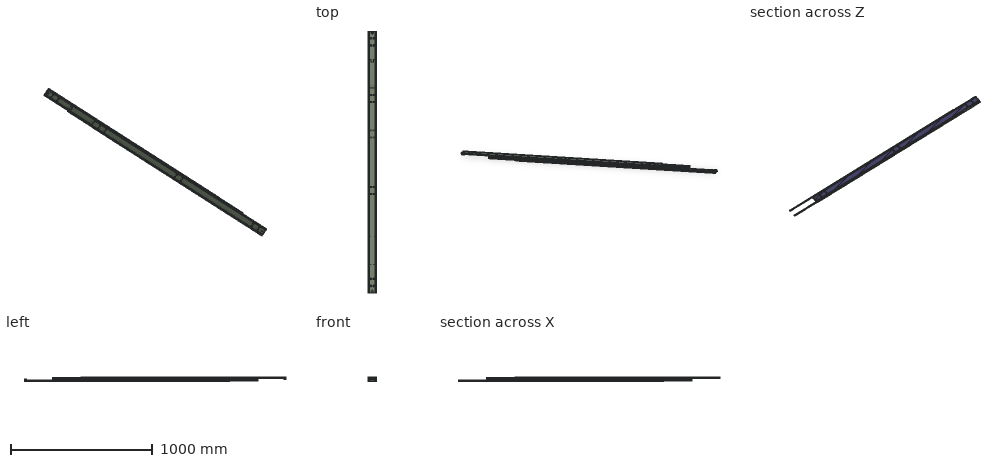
import cadquery as cq

OVERALL_LENGTH = 1850.0
OVERALL_HEIGHT = 34.0
WIDTH = 60.0

MEMBER_LENGTH = 1450.0
EXTENSION = OVERALL_LENGTH - MEMBER_LENGTH
UPPER_CENTRE_Y = -EXTENSION / 2
RAIL_END_Y = OVERALL_LENGTH / 2
MIDDLE_END_Y = MEMBER_LENGTH / 2

WEB_THICKNESS = 4.0
WALL_THICKNESS = 6.5
WALL_HEIGHT = 24.0
WEB_NOTCH_WIDTH = 19.0
WEB_NOTCH_DEPTH = 17.0
SIDE_HOLE_DIAMETER = 4.5
SIDE_HOLE_INSET = 12.0

PLATE_THICKNESS = 3.0
BAR_WIDTH = 40.0
BAR_TO_WEB_GAP = 3.0
PLATE_INNER_Z = OVERALL_HEIGHT / 2 - PLATE_THICKNESS
BAR_INNER_Z = WEB_THICKNESS / 2 + BAR_TO_WEB_GAP
BAR_CENTRE_Z = (PLATE_INNER_Z + BAR_INNER_Z) / 2
BALL_GROOVE_DIAMETER = 4.2

MOUNT_HOLE_DIAMETER = 8.5
MOUNT_HOLE_SPACING_X = 20.0
MOUNT_HOLE_SPACING_Y = 50.0
MOUNT_GROUP_PITCH = 650.0
MOUNT_GROUP_COUNT = 3
MOUNT_END_INSET = 50.0

STOP_DIAMETER = 16.0
STOP_REACH_PAST_CENTRE = 2.0
STOP_HEIGHT = BAR_INNER_Z + STOP_REACH_PAST_CENTRE
STOP_HOLE_DIAMETER = 8.0
END_HOLE_DIAMETER = 5.0
END_HOLE_DEPTH = 20.0


def mounting_hole_points():
    """Mounting hole centres on the upper rail, counted from its projecting end."""
    points = []
    for group in range(MOUNT_GROUP_COUNT):
        first_y = -RAIL_END_Y + MOUNT_END_INSET + group * MOUNT_GROUP_PITCH
        for y in (first_y, first_y + MOUNT_HOLE_SPACING_Y):
            for side in (-1, 1):
                points.append((side * MOUNT_HOLE_SPACING_X / 2, y))
    return points


def make_ball_grooves(x, z):
    """A pair of round cutters as long as a member, at +x and -x and at height z."""
    return (
        cq.Workplane("XZ")
        .pushPoints([(-x, z), (x, z)])
        .circle(BALL_GROOVE_DIAMETER / 2)
        .extrude(MEMBER_LENGTH / 2, both=True)
    )


def make_upper_rail():
    """Upper rail, which projects beyond the middle member at the -Y end."""
    plate = cq.Workplane("XY").box(WIDTH, MEMBER_LENGTH, PLATE_THICKNESS, centered=(True, True, False))
    plate = plate.translate((0, UPPER_CENTRE_Y, PLATE_INNER_Z))
    bar = cq.Workplane("XY").box(BAR_WIDTH, MEMBER_LENGTH, PLATE_INNER_Z - BAR_INNER_Z)
    bar = bar.translate((0, UPPER_CENTRE_Y, BAR_CENTRE_Z))
    stop_plane = cq.Workplane("XY", origin=(0, -RAIL_END_Y + STOP_DIAMETER / 2, BAR_INNER_Z - STOP_HEIGHT))
    stop = stop_plane.circle(STOP_DIAMETER / 2).extrude(STOP_HEIGHT)
    rail = plate.union(bar).union(stop)

    grooves = make_ball_grooves(BAR_WIDTH / 2, BAR_CENTRE_Z)
    rail = rail.cut(grooves.translate((0, UPPER_CENTRE_Y, 0)))

    mounting_holes = (
        cq.Workplane("XY", origin=(0, 0, BAR_INNER_Z))
        .pushPoints(mounting_hole_points())
        .circle(MOUNT_HOLE_DIAMETER / 2)
        .extrude(OVERALL_HEIGHT / 2 - BAR_INNER_Z)
    )
    rail = rail.cut(mounting_holes)

    stop_hole = stop_plane.circle(STOP_HOLE_DIAMETER / 2).extrude(STOP_HEIGHT)
    end_hole = (
        cq.Workplane("XZ", origin=(0, -RAIL_END_Y, BAR_CENTRE_Z))
        .circle(END_HOLE_DIAMETER / 2)
        .extrude(-END_HOLE_DEPTH)
    )
    return rail.cut(stop_hole).cut(end_hole)


def make_middle_member():
    """H-section middle member, with its web notched at both ends."""
    middle = cq.Workplane("XY").box(WIDTH, MEMBER_LENGTH, WEB_THICKNESS)
    for side in (-1, 1):
        wall = cq.Workplane("XY").box(WALL_THICKNESS, MEMBER_LENGTH, WALL_HEIGHT)
        middle = middle.union(wall.translate((side * (WIDTH - WALL_THICKNESS) / 2, 0, 0)))

    for z in (-BAR_CENTRE_Z, BAR_CENTRE_Z):
        middle = middle.cut(make_ball_grooves(WIDTH / 2 - WALL_THICKNESS, z))

    for end in (-1, 1):
        notch = cq.Workplane("XY").box(WEB_NOTCH_WIDTH, 2 * WEB_NOTCH_DEPTH, WEB_THICKNESS)
        middle = middle.cut(notch.translate((0, end * MIDDLE_END_Y, 0)))
        cross_hole = (
            cq.Workplane("YZ", origin=(0, end * (MIDDLE_END_Y - SIDE_HOLE_INSET), -end * BAR_CENTRE_Z))
            .circle(SIDE_HOLE_DIAMETER / 2)
            .extrude(WIDTH / 2, both=True)
        )
        middle = middle.cut(cross_hole)
    return middle


upper_rail = make_upper_rail()
middle_member = make_middle_member()
lower_rail = upper_rail.rotate((0, 0, 0), (1, 0, 0), 180)

result = cq.Compound.makeCompound([upper_rail.val(), middle_member.val(), lower_rail.val()])